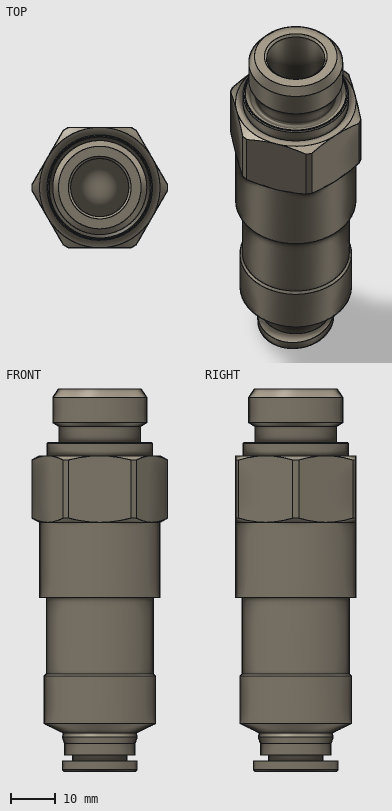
import cadquery as cq
import math

total_length = 85.8

thread_radius = 10.55
thread_tip_radius = 9.3
thread_tip_chamfer_height = 1.9
thread_end_z = total_length - 7.55
undercut_radius = 9.2
undercut_top_z = thread_end_z - 0.9

collar_radius = 11.8
collar_top_z = total_length - 12.0
collar_edge_chamfer = 0.3
recess_rim_radius = 11.3
groove_radius = 0.7
groove_outer_radius = 10.3

hex_across_flats = 27.0
hex_corner_diameter = 30.5
hex_turn = 30.0
hex_top_z = total_length - 15.0
hex_height = 14.9
hex_bottom_z = hex_top_z - hex_height
hex_chamfer_height = 0.95

upper_barrel_radius = hex_across_flats / 2
upper_barrel_end_z = total_length - 46.85
middle_barrel_radius = 12.0
lower_barrel_radius = 12.5
lower_barrel_top_z = total_length - 64.4
lower_barrel_end_z = total_length - 75.1
taper_end_z = total_length - 77.2
taper_end_radius = 8.15
bead_radius = 8.4
bead_z = total_length - 78.2
nose_radius = 7.9
nose_top_z = total_length - 79.6
nose_end_z = total_length - 82.2

bore_radius = 6.5
bore_mouth_radius = 7.0
bore_depth = 17.2

neck_radius = 6.1
flange_radius_x = 8.4
flange_radius_y = 9.5
flange_thickness = 2.3
flange_chamfer = 0.35


def turned(profile):
    """Revolve a closed (radius, z) profile about the Z axis."""
    return cq.Workplane("XZ").polyline(profile).close().revolve(360, (0, 0), (0, 1))


def make_turned_blank():
    barrel_step = lower_barrel_radius - middle_barrel_radius
    groove_center_radius = undercut_radius + groove_radius
    groove_rise = groove_outer_radius - groove_center_radius
    groove_outer_z = collar_top_z - math.sqrt(groove_radius**2 - groove_rise**2)
    upper_profile = [
        (0, total_length),
        (thread_tip_radius, total_length),
        (thread_radius, total_length - thread_tip_chamfer_height),
        (thread_radius, thread_end_z),
        (undercut_radius, undercut_top_z),
        (undercut_radius, collar_top_z),
    ]
    groove_bottom = (groove_center_radius, collar_top_z - groove_radius)
    groove_end = (groove_outer_radius, groove_outer_z)
    lower_profile = [
        (recess_rim_radius, collar_top_z),
        (collar_radius - collar_edge_chamfer, collar_top_z),
        (collar_radius, collar_top_z - collar_edge_chamfer),
        (collar_radius, hex_top_z),
        (upper_barrel_radius, hex_top_z),
        (upper_barrel_radius, upper_barrel_end_z),
        (middle_barrel_radius, upper_barrel_end_z),
        (middle_barrel_radius, lower_barrel_top_z + barrel_step),
        (lower_barrel_radius, lower_barrel_top_z),
        (lower_barrel_radius, lower_barrel_end_z),
        (taper_end_radius, taper_end_z),
        (bead_radius, bead_z),
        (nose_radius, nose_top_z),
        (nose_radius, nose_end_z),
        (0, nose_end_z),
    ]
    outline = cq.Workplane("XZ").polyline(upper_profile).threePointArc(groove_bottom, groove_end)
    for radius, z in lower_profile:
        outline = outline.lineTo(radius, z)
    return outline.close().revolve(360, (0, 0), (0, 1))


def make_hexagon():
    """Hexagon with trimmed corners and a conical chamfer at both ends."""
    prism = (
        cq.Workplane("XY")
        .workplane(offset=hex_bottom_z)
        .polygon(6, hex_across_flats, circumscribed=True)
        .extrude(hex_height)
        .rotate((0, 0, 0), (0, 0, 1), hex_turn)
    )
    flat_radius = hex_across_flats / 2
    corner_radius = hex_corner_diameter / 2
    envelope = turned([
        (0, hex_bottom_z),
        (flat_radius, hex_bottom_z),
        (corner_radius, hex_bottom_z + hex_chamfer_height),
        (corner_radius, hex_top_z - hex_chamfer_height),
        (flat_radius, hex_top_z),
        (0, hex_top_z),
    ])
    return prism.intersect(envelope)


def make_bore():
    """Blind bore with a chamfered mouth."""
    mouth_chamfer = bore_mouth_radius - bore_radius
    return turned([
        (0, total_length - bore_depth),
        (bore_radius, total_length - bore_depth),
        (bore_radius, total_length - mouth_chamfer),
        (bore_mouth_radius, total_length),
        (0, total_length),
    ])


def make_housing():
    return make_turned_blank().union(make_hexagon()).cut(make_bore())


def make_release_collar():
    flange = (
        cq.Workplane("XY")
        .ellipse(flange_radius_x, flange_radius_y)
        .extrude(flange_thickness)
        .faces("<Z")
        .chamfer(flange_chamfer)
    )
    neck = (
        cq.Workplane("XY")
        .workplane(offset=flange_thickness)
        .circle(neck_radius)
        .extrude(nose_end_z - flange_thickness)
    )
    return flange.union(neck)


housing = make_housing()
release_collar = make_release_collar()

result = cq.Compound.makeCompound([housing.val(), release_collar.val()])